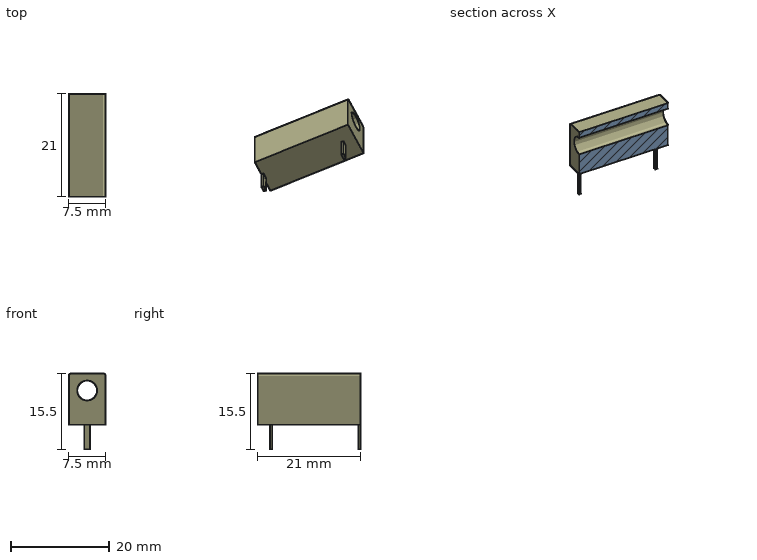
import cadquery as cq

body_width = 7.5
body_length = 21.0
body_height = 10.5
top_edge_radius = 0.5

bore_diameter = 4.0
bore_height = 7.0

pin_width = 1.25
pin_thickness = 0.5
pin_length = 5.0
pin_pitch = 18.0
rear_pin_y = (body_length - pin_thickness) / 2
front_pin_y = rear_pin_y - pin_pitch


def make_body():
    """Block with its two long top edges rounded."""
    block = cq.Workplane("XY").box(
        body_width, body_length, body_height, centered=(True, True, False)
    )
    return block.faces(">Z").edges("|Y").fillet(top_edge_radius)


def make_bore():
    """Cylinder to remove, through the body along Y."""
    return (
        cq.Workplane("XZ")
        .center(0, bore_height)
        .circle(bore_diameter / 2)
        .extrude(body_length / 2, both=True)
    )


def make_pin(y):
    """Flat pin hanging from the underside of the body at the given Y."""
    return (
        cq.Workplane("XY")
        .center(0, y)
        .rect(pin_width, pin_thickness)
        .extrude(-pin_length)
    )


result = make_body().cut(make_bore())
for pin_y in (front_pin_y, rear_pin_y):
    result = result.union(make_pin(pin_y))